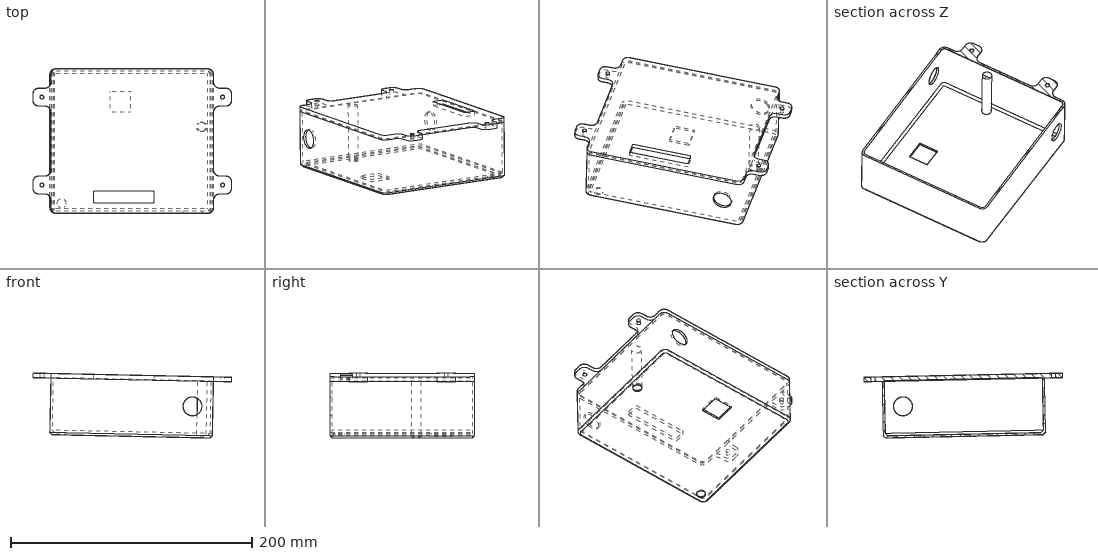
import cadquery as cq
import math

overall_length = 165.0
box_length = 135.0
box_width = 120.1
total_height = 51.0
corner_radius = 5.0
tilt_angle = 1.2

wall = 2.0
bottom_chamfer = 2.0
lid_thickness = 4.0
housing_height = total_height - lid_thickness
cavity_length = box_length - 2 * wall
cavity_width = box_width - 2 * wall
cavity_radius = corner_radius - wall

port_diameter = 15.5
port_x = 50.5
port_depth = 24.9
port_z = total_height - port_depth

post_diameter = 8.0
post_x = 58.2
post_y = 11.7

recess_diameter = 7.5
recess_depth = 1.0
recess_centers = [(post_x, post_y), (-57.5, -51.6)]

floor_opening_side = 17.0
floor_opening_center = (-9.0, 32.7)

tilt_radians = math.radians(tilt_angle)
lid_length = (overall_length - lid_thickness * math.sin(tilt_radians)) / math.cos(tilt_radians)
lid_skin = 3.5

tab_width = 15.0
tab_spacing = 72.9
tab_radius = corner_radius
screw_diameter = 3.1
screw_spacing = lid_length - tab_width

window_length = 50.2
window_width = 10.0
window_center = (-7.1, -46.4)
window_radius = 1.0


def plane_at(height):
    """Horizontal workplane at the given height."""
    return cq.Workplane("XY", origin=(0, 0, height))


def block(length, width, bottom, height, radius):
    """Upright block centred on the Z axis with rounded vertical edges."""
    return plane_at(bottom).rect(length, width).extrude(height).edges("|Z").fillet(radius)


def chamfer_bottom(body):
    return body.faces("<Z").edges().chamfer(bottom_chamfer)


def make_housing():
    """Open-topped box with a post, a port through two walls and openings in its floor."""
    inner_height = housing_height - wall
    outer = chamfer_bottom(block(box_length, box_width, 0, housing_height, corner_radius))
    cavity = chamfer_bottom(block(cavity_length, cavity_width, wall, inner_height, cavity_radius))
    port = (
        cq.Workplane("XZ", origin=(port_x, 0, port_z))
        .circle(port_diameter / 2)
        .extrude(box_width, both=True)
    )
    post = plane_at(wall).center(post_x, post_y).circle(post_diameter / 2).extrude(inner_height)
    recesses = plane_at(0).pushPoints(recess_centers).circle(recess_diameter / 2).extrude(recess_depth)
    floor_opening = (
        plane_at(0)
        .center(*floor_opening_center)
        .rect(floor_opening_side, floor_opening_side)
        .extrude(wall)
    )
    return outer.cut(cavity).cut(port).union(post).cut(recesses).cut(floor_opening)


def make_lid():
    """Flat lid with four mounting tabs, a window and an underside hollowed over the cavity."""
    plate = plane_at(housing_height).rect(box_length, box_width).extrude(lid_thickness)
    for tab_y in (-tab_spacing / 2, tab_spacing / 2):
        tab_pair = (
            plane_at(housing_height)
            .center(0, tab_y)
            .rect(lid_length, tab_width)
            .extrude(lid_thickness)
        )
        plate = plate.union(tab_pair)
    plate = plate.edges("|Z").fillet(tab_radius)

    screw_holes = (
        plane_at(housing_height)
        .rect(screw_spacing, tab_spacing, forConstruction=True)
        .vertices()
        .circle(screw_diameter / 2)
        .extrude(lid_thickness)
    )
    hollow = block(cavity_length, cavity_width, housing_height, lid_thickness - lid_skin, cavity_radius)
    window = block(window_length, window_width, housing_height, lid_thickness, window_radius)
    window = window.translate((*window_center, 0))
    return plate.cut(screw_holes).cut(hollow).cut(window)


def tilt(body):
    """Lean a body so that its +X end drops."""
    return body.rotate((0, 0, 0), (0, 1, 0), tilt_angle)


housing = tilt(make_housing())
lid = tilt(make_lid())

result = cq.Compound.makeCompound([housing.solids().val(), lid.solids().val()])